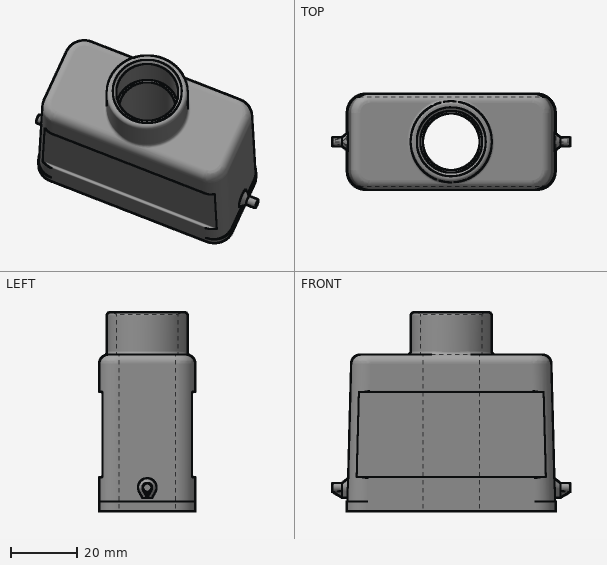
import cadquery as cq
import math

depth = 29.1
rim_width = 63.05
rim_height = 2.95
body_foot_width = 62.6
body_top = 47.3
wall_draft = math.radians(1.5)
corner_radius = 5.9
top_edge_radius = 2.9

top_height = 60.1
neck_radius = 24.5 / 2
neck_rim_radius = 1.1
neck_foot_radius = 0.9
bore_radius = 9.3
bore_mouth_radius = 10.4
bore_mouth_depth = 0.7
hole_radius = 17.0 / 2

recess_depth = 1.0
recess_bottom = 10.35
recess_top = 36.05
recess_round = 0.3

peg_reach = 35.9
peg_height = 7.2
peg_radius = 1.45
peg_tip_bevel_length = 0.5
peg_tip_bevel_inset = 0.15
web_drop = 3.1
web_tip_drop = 1.6
peg_base_reach = 32.9
peg_root_reach = 30.7
peg_root_radius = 3.15


def make_body():
    """Rounded block with leaning ends, standing on a straight rim."""
    rim = cq.Workplane("XY").box(rim_width, depth, rim_height, centered=(True, True, False))
    rim = rim.edges("|Z").fillet(corner_radius)
    foot_half = body_foot_width / 2
    top_half = foot_half - (body_top - rim_height) * math.tan(wall_draft)
    upper = (
        cq.Workplane("XZ")
        .polyline([
            (-foot_half, rim_height),
            (foot_half, rim_height),
            (top_half, body_top),
            (-top_half, body_top),
        ])
        .close()
        .extrude(depth / 2, both=True)
    )
    upper = upper.edges("not(|X or |Y)").fillet(corner_radius)
    upper = upper.faces(">Z").edges().fillet(top_edge_radius)
    return rim.union(upper)


def add_neck(body):
    """Round neck blended into the top of the body."""
    neck_base = body_top - 2 * top_edge_radius
    neck = (
        cq.Workplane("XY", origin=(0, 0, neck_base))
        .circle(neck_radius)
        .extrude(top_height - neck_base)
        .faces(">Z")
        .edges()
        .fillet(neck_rim_radius)
    )
    hood = body.union(neck)
    foot_band = 0.7
    box_half = neck_radius + foot_band
    foot_edges = hood.edges(
        cq.selectors.BoxSelector(
            (-box_half, -box_half, body_top - foot_band),
            (box_half, box_half, body_top + foot_band),
            boundingbox=True,
        )
    )
    return foot_edges.fillet(neck_foot_radius)


def make_bore():
    """Stepped passage: bevelled mouth, neck bore, then a narrower hole to the underside."""
    return (
        cq.Workplane("XZ")
        .polyline([
            (0, 0),
            (hole_radius, 0),
            (hole_radius, body_top),
            (bore_radius, body_top),
            (bore_radius, top_height - bore_mouth_depth),
            (bore_mouth_radius, top_height),
            (0, top_height),
        ])
        .close()
        .revolve(360, (0, 0, 0), (0, 1, 0))
    )


def make_recess():
    """Groove along X in the wall at -Y, with rounded inner corners and outer lips."""
    face = -depth / 2
    floor = face + recess_depth
    lip_end = face + recess_round
    root_start = floor - recess_round
    low_edge = recess_bottom - recess_round
    low_floor = recess_bottom + recess_round
    high_floor = recess_top - recess_round
    high_edge = recess_top + recess_round
    return (
        cq.Workplane("YZ")
        .moveTo(face, low_edge)
        .radiusArc((lip_end, recess_bottom), recess_round)
        .lineTo(root_start, recess_bottom)
        .radiusArc((floor, low_floor), -recess_round)
        .lineTo(floor, high_floor)
        .radiusArc((root_start, recess_top), -recess_round)
        .lineTo(lip_end, recess_top)
        .radiusArc((face, high_edge), recess_round)
        .close()
        .extrude(rim_width / 2, both=True)
    )


def teardrop(plane, radius, drop):
    """Circle with a web below it that narrows to a point."""
    tangent_angle = math.asin(radius / drop)
    side = radius * math.cos(tangent_angle)
    tangent_drop = radius * math.sin(tangent_angle)
    return (
        plane.moveTo(0, -drop)
        .lineTo(side, -tangent_drop)
        .threePointArc((0, radius), (-side, -tangent_drop))
        .close()
    )


def make_peg():
    """Peg on the +X wall: flared root, round pin and a web that slopes up to the pin's tip."""
    root_plane = cq.Workplane("YZ", origin=(peg_root_reach, 0, peg_height))
    pin_plane = cq.Workplane("YZ", origin=(peg_base_reach, 0, peg_height))
    root_drop = web_drop * peg_root_radius / peg_radius

    root = teardrop(root_plane, peg_root_radius, root_drop)
    root = root.workplane(offset=peg_base_reach - peg_root_reach)
    root = teardrop(root, peg_radius, web_drop).loft(ruled=True)
    underside = cq.Workplane("XY").box(peg_reach, depth, root_drop, centered=(False, True, False))
    root = root.cut(underside.translate((0, 0, peg_height - web_drop - root_drop)))

    pin_length = peg_reach - peg_base_reach
    pin = pin_plane.circle(peg_radius).extrude(pin_length)
    pin = pin.faces(">X").edges().chamfer(peg_tip_bevel_length, peg_tip_bevel_inset)

    web = teardrop(pin_plane, peg_radius, web_drop)
    web = web.workplane(offset=pin_length - peg_tip_bevel_length)
    web = teardrop(web, peg_radius, web_tip_drop).loft(ruled=True)
    return root.union(web).union(pin)


recess = make_recess()
peg = make_peg()
result = add_neck(make_body())
result = result.cut(recess).cut(recess.mirror("XZ"))
result = result.union(peg).union(peg.mirror("YZ"))
result = result.cut(make_bore())